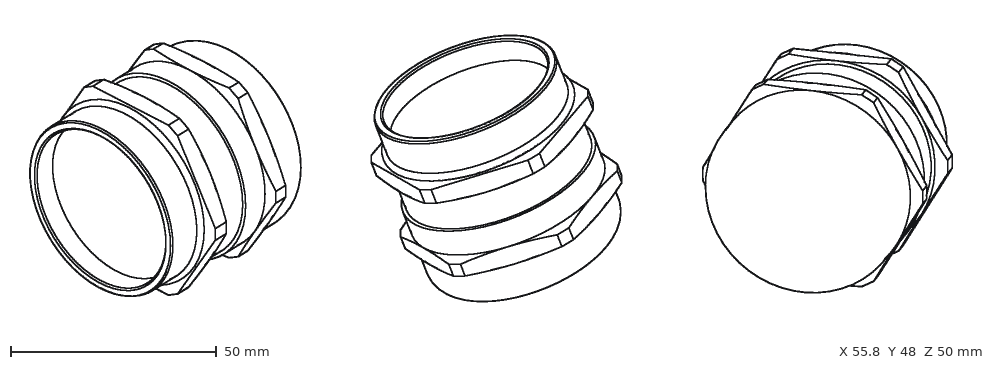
import cadquery as cq
import math


length = 48.0
across_flats = 50.0
across_corners = 55.75

thread_radius = 23.45
thread_length = 11.0
tip_chamfer_length = 0.55
tip_chamfer_depth = 0.3

bore_radius = 21.25
bore_depth = 6.0
mouth_chamfer = 0.45

ring_outer_radius = 24.75
ring_section_radius = 0.95

hex_width = 5.0
body_hex_start = thread_length
body_chamfer_angle = 20.0
cap_hex_start = 32.0
cap_chamfer_angle = 15.0

neck_radius = 24.0
cap_start = 25.0
cap_radius = across_flats / 2
cap_fillet = 5.0


def cylinder(radius, start, end):
    """Solid cylinder along Y between two positions."""
    return cq.Workplane("XZ", origin=(0, start, 0)).circle(radius).extrude(start - end)


def turned(points):
    """Solid of revolution about Y from a closed outline of (radius, y) points."""
    return cq.Workplane("XY").polyline(points).close().revolve(360, (0, 0, 0), (0, 1, 0))


def hex_prism(flat_distance, turn, start):
    """Hexagonal prism along Y, given its width across flats and its turn about Y."""
    corner_diameter = flat_distance / math.cos(math.radians(30))
    prism = cq.Workplane("XZ", origin=(0, start, 0)).polygon(6, corner_diameter).extrude(-hex_width)
    return prism.rotate((0, 0, 0), (0, 1, 0), turn)


def hexagon(start, chamfer_angle, chamfer_both_ends):
    """Hexagon with flat-cut corners and a turned chamfer on its +Y end or on both ends."""
    end = start + hex_width
    prism = hex_prism(across_flats, 0, start)
    corner_cutter = hex_prism(across_corners, 30, start)

    face_radius = across_flats / 2
    rim_radius = across_corners / math.sqrt(3)
    chamfer_length = (rim_radius - face_radius) * math.tan(math.radians(chamfer_angle))
    if chamfer_both_ends:
        start_edge = [(face_radius, start), (rim_radius, start + chamfer_length)]
    else:
        start_edge = [(rim_radius, start)]
    end_edge = [(rim_radius, end - chamfer_length), (face_radius, end)]
    envelope = turned([(0, start)] + start_edge + end_edge + [(0, end)])

    return prism.intersect(corner_cutter).intersect(envelope)


def threaded_end():
    """Cylinder with a chamfered tip."""
    return turned([
        (0, 0),
        (thread_radius - tip_chamfer_depth, 0),
        (thread_radius, tip_chamfer_length),
        (thread_radius, thread_length),
        (0, thread_length),
    ])


def sealing_ring():
    """Round-section ring around the thread, touching the body hexagon."""
    section_centre = (ring_outer_radius - ring_section_radius, body_hex_start - ring_section_radius)
    section = cq.Workplane("XY").moveTo(*section_centre).circle(ring_section_radius)
    return section.revolve(360, (0, 0, 0), (0, 1, 0))


def cap():
    """Cap with a rounded outer end."""
    return cylinder(cap_radius, cap_start, length).faces(">Y").edges().fillet(cap_fillet)


def bore():
    """Cutter for the blind bore with its chamfered mouth."""
    return turned([
        (0, 0),
        (bore_radius + mouth_chamfer, 0),
        (bore_radius, mouth_chamfer),
        (bore_radius, bore_depth),
        (0, bore_depth),
    ])


result = (
    threaded_end()
    .union(sealing_ring())
    .union(hexagon(body_hex_start, body_chamfer_angle, chamfer_both_ends=False))
    .union(cylinder(neck_radius, body_hex_start, cap_start))
    .union(cap())
    .union(hexagon(cap_hex_start, cap_chamfer_angle, chamfer_both_ends=True))
    .cut(bore())
    .translate((0, -length / 2, 0))
)